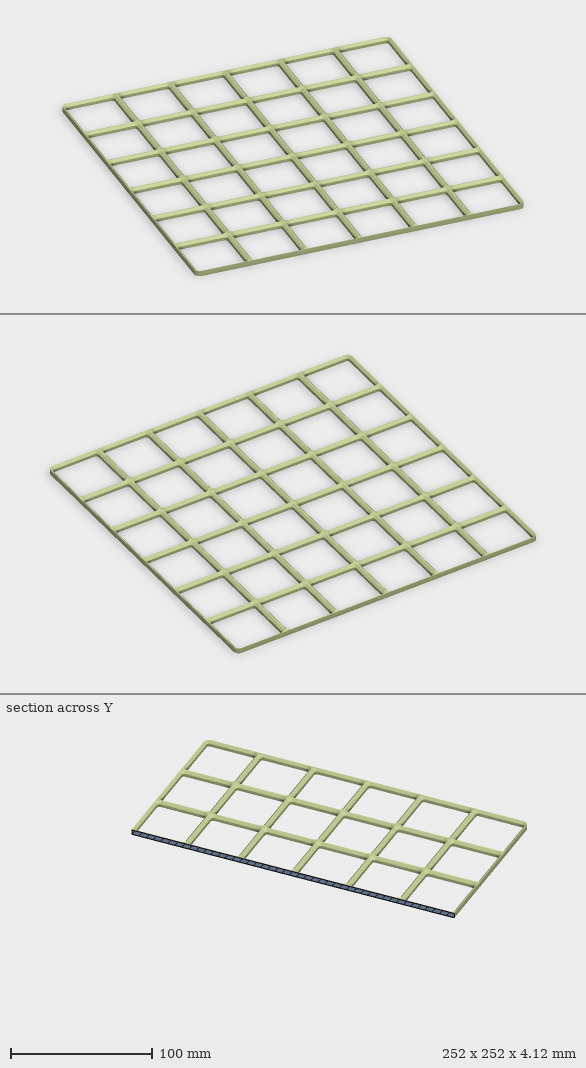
import cadquery as cq

side = 252.0
cells_per_side = 6
corner_radius = 4.0

wall_height = 2.42
flare = 1.7
flare_angle = 45.0

land_width = 1.0

height = wall_height + flare
pitch = side / cells_per_side
throat_width = pitch - land_width - 2 * flare
throat_radius = corner_radius - land_width / 2 - flare


def rounded_square(width, radius):
    """Square outline with rounded corners, centred on the origin."""
    return cq.Sketch().rect(width, width).vertices().fillet(radius)


def cell_opening():
    """Volume removed by one cell, centred on the Z axis."""
    outline = rounded_square(throat_width, throat_radius)
    throat = cq.Workplane("XY").placeSketch(outline).extrude(wall_height)
    flared_rim = (
        cq.Workplane("XY")
        .workplane(offset=wall_height)
        .placeSketch(outline)
        .extrude(flare, taper=-flare_angle)
    )
    return throat.union(flared_rim).val()


plate = cq.Workplane("XY").placeSketch(rounded_square(side, corner_radius)).extrude(height)

opening = cell_opening()
openings = (
    cq.Workplane("XY")
    .rarray(pitch, pitch, cells_per_side, cells_per_side)
    .eachpoint(lambda place: opening.moved(place))
)
result = plate.cut(openings)